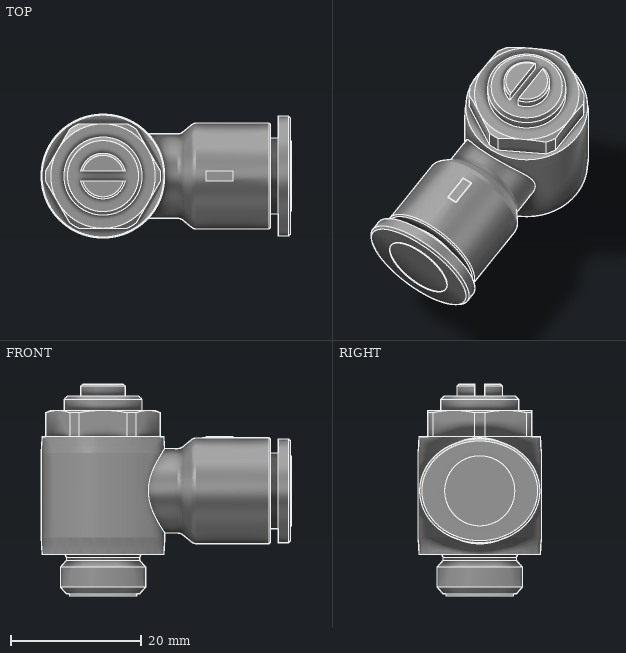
import cadquery as cq
import math

body_diameter = 19.0
body_radius = body_diameter / 2
overall_length = 38.4
overall_height = 32.5
port_end_x = overall_length - body_radius

spigot_top_z = 0.35
thread_start_z = 1.4
thread_end_z = 4.4
neck_start_z = 5.45
neck_end_z = 5.9
body_bottom_z = 6.35
body_height = 18.1
body_top_z = body_bottom_z + body_height
hex_height = 4.05
hex_top_z = body_top_z + hex_height
flange_height = 2.23
flange_top_z = hex_top_z + flange_height

spigot_radius = 5.2
neck_radius = 5.65
neck_flare_radius = 5.85
thread_radius = 6.55
flange_radius = 6.0
flange_chamfer = 0.55

body_end_length = 2.57
body_end_drop = 0.15

hex_across_flats = 16.0
hex_corner_diameter = 17.63
hex_corner_radius = hex_corner_diameter / 2
hex_sides = 6
hex_chamfer_height = 0.35

screw_radius = 3.5
screw_chamfer = 0.3
slot_width = 1.5

port_axis_z = 16.13
stem_radius = 6.5
socket_radius = 8.15
cone_start_x = 11.9
cone_end_x = 13.9
cone_blend_radius = 1.15
socket_end_x = 25.7
socket_chamfer = 0.23
port_neck_radius = 5.85

collar_start_x = 26.85
collar_half_width = 9.2
collar_half_height = 8.0
collar_chamfer = 0.35
end_disc_radius = 5.38
end_disc_height = 0.1
collar_end_x = port_end_x - end_disc_height

pad_start_x = 15.82
pad_length = 4.1
pad_width = 1.55
pad_height = 0.15


def disc(radius, bottom_z, top_z):
    """Upright cylinder on the Z axis."""
    return cq.Workplane("XY").workplane(offset=bottom_z).circle(radius).extrude(top_z - bottom_z)


def threaded_end():
    """Spigot, chamfered thread and relieved neck below the body."""
    return (
        cq.Workplane("XZ")
        .lineTo(spigot_radius, 0)
        .lineTo(spigot_radius, spigot_top_z)
        .lineTo(neck_radius, spigot_top_z)
        .lineTo(thread_radius, thread_start_z)
        .lineTo(thread_radius, thread_end_z)
        .lineTo(neck_radius, neck_start_z)
        .lineTo(neck_radius, neck_end_z)
        .lineTo(neck_flare_radius, body_bottom_z)
        .lineTo(0, body_bottom_z)
        .close()
        .revolve(360, (0, 0), (0, 1))
    )


def banjo_body():
    """Main cylinder with a slight taper at both ends."""
    end_radius = body_radius - body_end_drop
    return (
        cq.Workplane("XZ")
        .moveTo(0, body_bottom_z)
        .lineTo(end_radius, body_bottom_z)
        .lineTo(body_radius, body_bottom_z + body_end_length)
        .lineTo(body_radius, body_top_z - body_end_length)
        .lineTo(end_radius, body_top_z)
        .lineTo(0, body_top_z)
        .close()
        .revolve(360, (0, 0), (0, 1))
    )


def hexagon():
    """Hexagon with its corners turned round and its top edge chamfered."""
    across_corners = hex_across_flats / math.cos(math.pi / hex_sides)
    prism = (
        cq.Workplane("XY")
        .workplane(offset=body_top_z)
        .polygon(hex_sides, across_corners)
        .extrude(hex_height)
    )
    chamfer_width = hex_corner_radius - hex_across_flats / 2
    turned_blank = (
        disc(hex_corner_radius, body_top_z, hex_top_z)
        .faces(">Z")
        .edges()
        .chamfer(hex_chamfer_height, chamfer_width)
    )
    return prism.intersect(turned_blank)


def flange():
    """Round chamfered step on top of the hexagon."""
    return disc(flange_radius, hex_top_z, flange_top_z).faces(">Z").chamfer(flange_chamfer)


def slotted_screw():
    """Screw head split by a slot along X down to the flange."""
    head = disc(screw_radius, flange_top_z, overall_height).faces(">Z").chamfer(screw_chamfer)
    slot = (
        cq.Workplane("XY")
        .workplane(offset=flange_top_z)
        .rect(2 * screw_radius, slot_width)
        .extrude(overall_height - flange_top_z)
    )
    return head.cut(slot)


def port_section(start_x):
    """Workplane across the port axis; local x is Y and local y is Z."""
    return cq.Workplane("YZ", origin=(start_x, 0, port_axis_z))


def port():
    """Stem, blended cone, socket and thin neck turned about the port axis."""
    stem_and_socket = (
        cq.Workplane("XY", origin=(0, 0, port_axis_z))
        .lineTo(0, stem_radius)
        .lineTo(cone_start_x, stem_radius)
        .lineTo(cone_end_x, socket_radius)
        .lineTo(socket_end_x, socket_radius)
        .lineTo(socket_end_x, 0)
        .close()
        .revolve(360, (0, 0), (1, 0))
        .faces("%CONE")
        .edges("%CIRCLE")
        .fillet(cone_blend_radius)
        .faces(">X")
        .chamfer(socket_chamfer)
    )
    neck = port_section(socket_end_x).circle(port_neck_radius).extrude(collar_start_x - socket_end_x)
    return stem_and_socket.union(neck)


def release_collar():
    """Oval collar with a chamfered outer edge and a low round disc on its end."""
    collar = (
        port_section(collar_start_x)
        .ellipse(collar_half_width, collar_half_height)
        .extrude(collar_end_x - collar_start_x)
        .faces(">X")
        .chamfer(collar_chamfer)
    )
    end_disc = port_section(collar_end_x).circle(end_disc_radius).extrude(end_disc_height)
    return collar.union(end_disc)


def socket_pad():
    """Flat rectangular pad standing just above the top of the socket."""
    return (
        cq.Workplane("XY", origin=(pad_start_x, 0, port_axis_z))
        .box(pad_length, pad_width, socket_radius + pad_height, centered=(False, True, False))
    )


result = (
    threaded_end()
    .union(banjo_body())
    .union(hexagon())
    .union(flange())
    .union(slotted_screw())
    .union(port())
    .union(release_collar())
    .union(socket_pad())
)